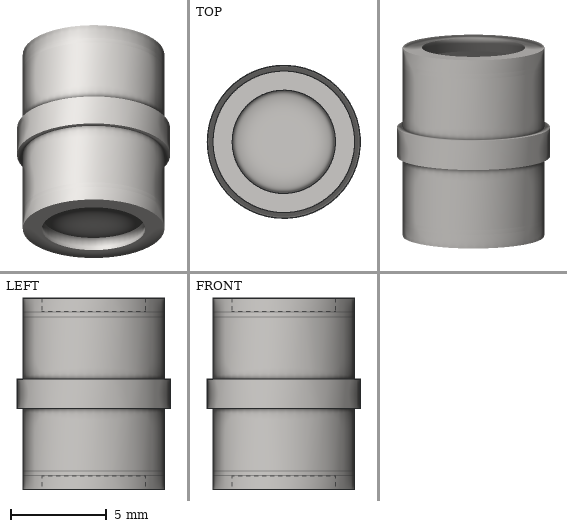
import cadquery as cq

body_diameter = 7.4
body_length = 10.0

collar_diameter = 8.0
collar_width = 1.55

band_width = 0.25
band_end_distance = 0.73

recess_diameter = 5.4
recess_depth = 0.7

body_radius = body_diameter / 2
collar_radius = collar_diameter / 2
recess_radius = recess_diameter / 2
end_height = body_length / 2
collar_height = collar_width / 2
recess_floor_height = end_height - recess_depth
band_outer_height = end_height - band_end_distance
band_inner_height = band_outer_height - band_width

upper_section = [
    (0, recess_floor_height),
    (recess_radius, recess_floor_height),
    (recess_radius, end_height),
    (body_radius, end_height),
    (body_radius, band_outer_height),
    (body_radius, band_inner_height),
    (body_radius, collar_height),
    (collar_radius, collar_height),
]


def full_section():
    """Upper half followed by its mirror image, drawn on the -X side of the axis."""
    lower_section = [(radius, -height) for radius, height in reversed(upper_section)]
    return [(-radius, height) for radius, height in upper_section + lower_section]


axis_start = (0, 0)
axis_end = (0, 1)
result = cq.Workplane("XZ").polyline(full_section()).close().revolve(360, axis_start, axis_end, clean=False)